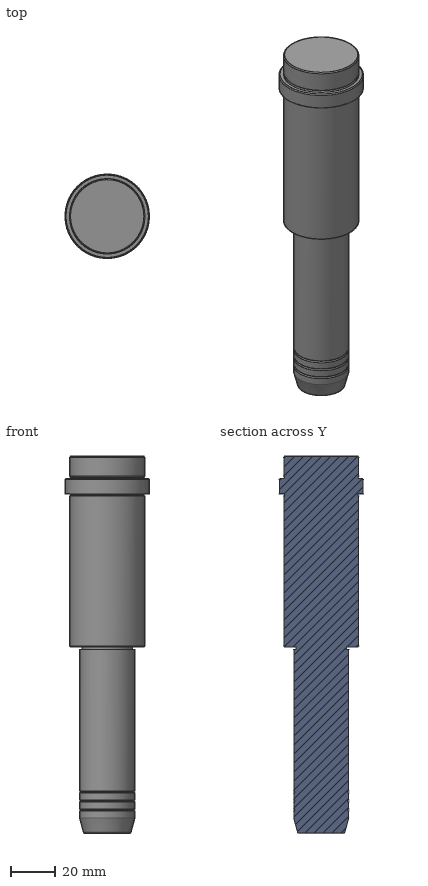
import cadquery as cq
import math

length = 170.0
flange_diameter = 38.0
body_diameter = 34.0
shank_diameter = 25.0

flange_top = 160.0
flange_bottom = 153.0
body_bottom = 84.0

vee_width = 1.0
vee_depth = 0.5

neck_width = 1.0
neck_depth = 1.0

ring_count = 3
ring_pitch = 4.0
lowest_ring_center = 10.5

tip_height = 7.0
tip_angle = 15.0
tip_fillet = 0.8
edge_chamfer = 0.5


def cylinder(diameter, bottom, top):
    """Solid cylinder on the Z axis between two heights."""
    return cq.Workplane("XY").workplane(offset=bottom).circle(diameter / 2).extrude(top - bottom)


def square_groove(diameter, depth, bottom, width):
    """Ring that cuts a square groove into a cylinder of the given diameter."""
    outer = cylinder(diameter, bottom, bottom + width)
    return outer.cut(cylinder(diameter - 2 * depth, bottom, bottom + width))


def vee_groove(diameter, center_height):
    """Ring that cuts a V groove into a cylinder of the given diameter."""
    surface = diameter / 2
    root = surface - vee_depth
    half_width = vee_width / 2
    return (
        cq.Workplane("XZ")
        .moveTo(root, center_height)
        .lineTo(surface, center_height - half_width)
        .lineTo(surface, center_height + half_width)
        .close()
        .revolve(360, (0, 0, 0), (0, 1, 0))
    )


shank_radius = shank_diameter / 2
tip_radius = shank_radius - tip_height * math.tan(math.radians(tip_angle))
tip = (
    cq.Workplane("XZ")
    .polyline([(0, 0), (tip_radius, 0), (shank_radius, tip_height), (0, tip_height)])
    .close()
    .revolve(360, (0, 0, 0), (0, 1, 0))
    .faces("<Z")
    .edges()
    .fillet(tip_fillet)
)

shank = cylinder(shank_diameter, tip_height, body_bottom)
shank = shank.cut(square_groove(shank_diameter, neck_depth, body_bottom - neck_width, neck_width))
for index in range(ring_count):
    ring_center = lowest_ring_center + index * ring_pitch
    shank = shank.cut(vee_groove(shank_diameter, ring_center))

body = cylinder(body_diameter, body_bottom, length).faces("<Z or >Z").edges().chamfer(edge_chamfer)
for relief_center in (flange_top + vee_width / 2, flange_bottom - vee_width / 2):
    body = body.cut(vee_groove(body_diameter, relief_center))

flange = cylinder(flange_diameter, flange_bottom, flange_top).faces(">Z").edges().chamfer(edge_chamfer)

result = tip.union(shank).union(body).union(flange)